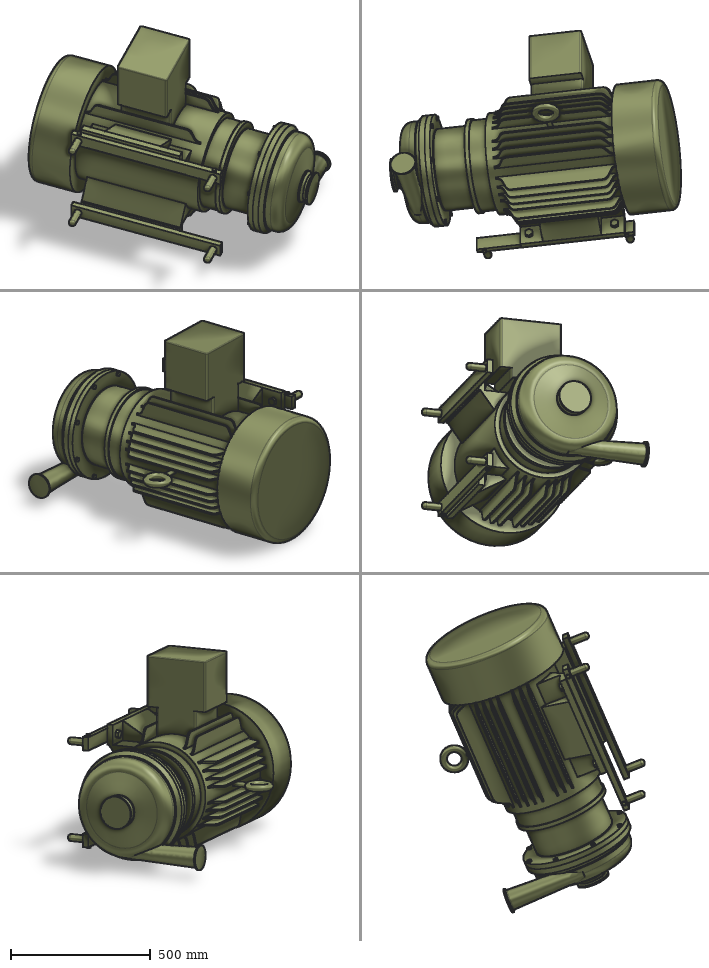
import cadquery as cq
import math


COWL_RADIUS = 235.0
COWL_END = 165.0
COWL_ROUNDING = 19.0
BARREL_RADIUS = 183.0
BARREL_END = 636.0

OUTER_FIN_OFFSET = 115.0
FIN_PITCH = OUTER_FIN_OFFSET / 4
FIN_THICKNESS = 6.0
FIN_ENVELOPE_RADIUS = 461.0 / 2
FIN_END = 610.0
FIN_LIP = 3.0
FIN_LIP_LENGTH = 17.0
FIN_RAMP_LENGTH = 24.0
FIN_ROUNDING = 22.0
FIN_ROOT = 131.0
SIDE_FINS = (-4, -3, -2, -1, 1, 2, 3, 4)
TOP_FINS = (-3, 3, 4)
BOTTOM_FINS = (-3, -2, -1, 1, 2, 3, 4)

BOX_X = 395.0
BOX_LENGTH = 190.0
BOX_WIDTH = 230.0
BOX_TOP = 460.0
BOX_BOTTOM = 274.0
BOX_NECK_WIDTH = 155.0
BOX_CORNER_ROUNDING = 7.0
BOX_TOP_ROUNDING = 3.0

EYE_DIAMETER = 102.0
EYE_WIRE_DIAMETER = 25.0
EYE_TOP = 335.0
EYE_STEM_DIAMETER = 18.0

FOOT_LENGTH = 379.0
FOOT_FACE = 228.0
PAD_THICKNESS = 23.0
PAD_TOP = 217.0
LEDGE = 143.0
PAD_LIP = 6.0
WEB_BOTTOM = 68.0
WEB_BOTTOM_DEPTH = 165.0
FOOT_ROOT = 99.0
GUSSET_LENGTH = 214.0
GUSSET_TOP_AT_ROOT = 156.0
FOOT_BOLT_SPACING = 312.0
FOOT_BOLT_DIAMETER = 29.0
FOOT_BOLT_HEIGHT = 12.0

RAIL_START = 175.0
RAIL_LENGTH = 572.0
RAIL_HEIGHT = 49.0
RAIL_THICKNESS = 20.0
RAIL_Z = 177.0
PIN_DIAMETER = 26.0
PIN_LENGTH = 70.0
PIN_TIP_ROUNDING = 12.0
PIN_POSITIONS = (203.0, 722.0)
SCREW_DIAMETER = 15.0
SCREW_HEIGHT = 6.0

ADAPTER_RADIUS = 330.0 / 2
CLAMP_RADIUS = 340.0 / 2
CLAMP_START = 698.0
CLAMP_END = 715.0
SLEEVE_RADIUS = 295.0 / 2
GROOVE_WIDTH = 3.0
GROOVE_DEPTH = 3.0

FLANGE_RADIUS = 400.0 / 2
FLANGE_START = 835.0
FLANGE_SEAM = 854.0
FLANGE_EDGE = 875.0
FLANGE_END = 890.0
FLANGE_SHOULDER_RADIUS = 185.0
CASING_RADIUS = 183.0
CASING_EDGE = 914.0
CASING_FACE = 954.0
CASING_FACE_RADIUS = 139.0
CASING_BULGE_X = 944.0
CASING_BULGE_RADIUS = 170.0
FLANGE_BOLTS = 8
FLANGE_BOLT_CIRCLE_RADIUS = 189.0
FLANGE_BOLT_DIAMETER = 15.0
FLANGE_BOLT_HEIGHT = 6.0

HUB_START = 972.0
HUB_END = 978.0
HUB_RADIUS = 117.0 / 2
INLET_NECK_RADIUS = 98.0 / 2
INLET_NECK_START = 988.0
INLET_NECK_END = 997.0
INLET_RIM_START = 1002.0
INLET_RIM_RADIUS = 119.0 / 2
INLET_END = 1008.0

OUTLET_X = 915.0
OUTLET_Z = -156.0
OUTLET_END = 292.0
OUTLET_RIM_RADIUS = 45.0
OUTLET_RIM_THICKNESS = 5.0
OUTLET_PIPE_RADIUS = 77.0 / 2
OUTLET_CUFF_END = 285.0
OUTLET_CUFF_START = 280.0
OUTLET_ROOT_RADIUS = 28.0


def block(x_range, y_range, z_range):
    """Axis-aligned box between two corners."""
    size = [high - low for low, high in (x_range, y_range, z_range)]
    corner = (x_range[0], y_range[0], z_range[0])
    return cq.Workplane("XY").box(*size, centered=False).translate(corner)


def cylinder(base, direction, radius, length):
    return cq.Workplane(cq.Solid.makeCylinder(radius, length, cq.Vector(*base), cq.Vector(*direction)))


def make_barrel():
    cowl = cylinder((0, 0, 0), (1, 0, 0), COWL_RADIUS, COWL_END).faces("<X").edges().fillet(COWL_ROUNDING)
    return cowl.union(cylinder((0, 0, 0), (1, 0, 0), BARREL_RADIUS, BARREL_END))


def make_fin(offset):
    """Fin on the +Y side of the barrel, lying in a plane Z = offset."""
    base = math.sqrt(BARREL_RADIUS**2 - offset**2) + FIN_LIP
    tip = math.sqrt(FIN_ENVELOPE_RADIUS**2 - offset**2)
    rise_start = COWL_END + FIN_LIP_LENGTH
    fall_end = FIN_END - FIN_LIP_LENGTH
    corners = [
        (rise_start, base),
        (rise_start + FIN_RAMP_LENGTH, tip),
        (fall_end - FIN_RAMP_LENGTH, tip),
        (fall_end, base),
    ]
    outline = [(COWL_END, FIN_ROOT), (COWL_END, base), *corners, (FIN_END, base), (FIN_END, FIN_ROOT)]
    fin = (
        cq.Workplane("XY", origin=(0, 0, offset - FIN_THICKNESS / 2))
        .polyline(outline)
        .close()
        .extrude(FIN_THICKNESS)
    )
    for x, y in corners:
        fin = fin.edges(cq.NearestToPointSelector((x, y, offset))).fillet(FIN_ROUNDING)
    return fin


def make_fins():
    """Fins on three sides; each group is the +Y group turned about the shaft axis."""
    fins = []
    for turn, row in ((0, SIDE_FINS), (90, TOP_FINS), (-90, BOTTOM_FINS)):
        for place in row:
            side = -1 if turn == 90 else 1
            fins.append(make_fin(side * place * FIN_PITCH).rotate((0, 0, 0), (1, 0, 0), turn))
    return fins


def make_terminal_box():
    x_range = (BOX_X - BOX_LENGTH / 2, BOX_X + BOX_LENGTH / 2)
    half_width = BOX_WIDTH / 2
    half_neck = BOX_NECK_WIDTH / 2
    box = block(x_range, (-half_width, half_width), (BOX_BOTTOM, BOX_TOP))
    box = box.edges("|Z").fillet(BOX_CORNER_ROUNDING).faces(">Z").edges().fillet(BOX_TOP_ROUNDING)
    neck = block(x_range, (-half_neck, half_neck), (0, BOX_BOTTOM))
    return box.union(neck.edges("|Z").fillet(BOX_CORNER_ROUNDING))


def make_lifting_eye():
    wire_radius = EYE_WIRE_DIAMETER / 2
    ring_radius = EYE_DIAMETER / 2 - wire_radius
    center_y = EYE_TOP - EYE_DIAMETER / 2
    ring = cq.Workplane(
        cq.Solid.makeTorus(ring_radius, wire_radius, cq.Vector(BOX_X, center_y, 0), cq.Vector(0, 0, 1))
    )
    stem = cylinder((BOX_X, 0, 0), (0, 1, 0), EYE_STEM_DIAMETER / 2, center_y - ring_radius)
    return ring.union(stem)


def extrude_along_x(outline, length):
    """Prism with a (Y, Z) outline, centred lengthwise on the feet."""
    return cq.Workplane("YZ", origin=(BOX_X - length / 2, 0, 0)).polyline(outline).close().extrude(length)


def make_foot():
    """Upper foot: angled web, upright pad, sloped gusset and two hexagon bolt heads."""
    pad_back = -FOOT_FACE + PAD_THICKNESS
    foot = extrude_along_x(
        [
            (-FOOT_ROOT, LEDGE),
            (pad_back, LEDGE),
            (pad_back, PAD_TOP),
            (-FOOT_FACE, PAD_TOP),
            (-FOOT_FACE, LEDGE),
            (-FOOT_FACE + PAD_LIP, LEDGE),
            (-WEB_BOTTOM_DEPTH, WEB_BOTTOM),
            (-FOOT_ROOT, WEB_BOTTOM),
        ],
        FOOT_LENGTH,
    )
    gusset = extrude_along_x(
        [
            (-FOOT_ROOT, LEDGE),
            (-FOOT_ROOT, GUSSET_TOP_AT_ROOT),
            (pad_back, PAD_TOP),
            (pad_back, LEDGE),
        ],
        GUSSET_LENGTH,
    )
    foot = foot.union(gusset)
    for side in (-1, 1):
        bolt_x = BOX_X + side * FOOT_BOLT_SPACING / 2
        head = (
            cq.Workplane("XZ", origin=(bolt_x, pad_back + FOOT_BOLT_HEIGHT, RAIL_Z))
            .transformed(rotate=(0, 0, 90))
            .polygon(6, FOOT_BOLT_DIAMETER)
            .extrude(FOOT_BOLT_HEIGHT)
        )
        foot = foot.union(head)
    return foot


def make_rail():
    """Upper rail with two round-ended pins and two screws on its edge."""
    rail_face = -FOOT_FACE - RAIL_THICKNESS
    rail_top = RAIL_Z + RAIL_HEIGHT / 2
    rail = block(
        (RAIL_START, RAIL_START + RAIL_LENGTH),
        (rail_face, -FOOT_FACE),
        (RAIL_Z - RAIL_HEIGHT / 2, rail_top),
    )
    for x in PIN_POSITIONS:
        pin = cylinder((x, rail_face, RAIL_Z), (0, -1, 0), PIN_DIAMETER / 2, PIN_LENGTH)
        pin = pin.faces("<Y").edges().fillet(PIN_TIP_ROUNDING)
        screw_y = -FOOT_FACE - RAIL_THICKNESS / 2
        screw = cylinder((x, screw_y, rail_top), (0, 0, 1), SCREW_DIAMETER / 2, SCREW_HEIGHT)
        rail = rail.union(pin).union(screw)
    return rail


def make_motor():
    motor = make_barrel()
    for fin in make_fins():
        motor = motor.union(fin)
    support = make_foot().union(make_rail())
    motor = motor.union(support).union(support.mirror("XY"))
    return motor.union(make_terminal_box()).union(make_lifting_eye())


def make_adapter():
    """Adapter, clamp ring, sleeve and rear flange half, revolved about the shaft axis."""
    groove_radius = SLEEVE_RADIUS - GROOVE_DEPTH
    profile = (
        cq.Workplane("XY")
        .moveTo(BARREL_END, 0)
        .lineTo(BARREL_END, ADAPTER_RADIUS)
        .lineTo(CLAMP_START, ADAPTER_RADIUS)
        .lineTo(CLAMP_START, CLAMP_RADIUS)
        .lineTo(CLAMP_END, CLAMP_RADIUS)
        .lineTo(CLAMP_END, groove_radius)
        .lineTo(CLAMP_END + GROOVE_WIDTH, groove_radius)
        .lineTo(CLAMP_END + GROOVE_WIDTH, SLEEVE_RADIUS)
        .lineTo(FLANGE_START - GROOVE_WIDTH, SLEEVE_RADIUS)
        .lineTo(FLANGE_START - GROOVE_WIDTH, groove_radius)
        .lineTo(FLANGE_START, groove_radius)
        .lineTo(FLANGE_START, FLANGE_RADIUS)
        .lineTo(FLANGE_SEAM, FLANGE_RADIUS)
        .lineTo(FLANGE_SEAM, 0)
        .close()
    )
    adapter = profile.revolve(360, (0, 0, 0), (1, 0, 0))
    for i in range(FLANGE_BOLTS):
        angle = 2 * math.pi * (i + 0.5) / FLANGE_BOLTS
        y = FLANGE_BOLT_CIRCLE_RADIUS * math.cos(angle)
        z = FLANGE_BOLT_CIRCLE_RADIUS * math.sin(angle)
        bolt = cylinder((FLANGE_START, y, z), (-1, 0, 0), FLANGE_BOLT_DIAMETER / 2, FLANGE_BOLT_HEIGHT)
        adapter = adapter.union(bolt)
    return adapter


def make_drive():
    """Motor and adapter, which form one solid."""
    return make_motor().union(make_adapter())


def make_volute():
    """Front flange half, pump casing and inlet, revolved about the shaft axis."""
    groove_radius = CASING_RADIUS - GROOVE_DEPTH
    profile = (
        cq.Workplane("XY")
        .moveTo(FLANGE_SEAM, 0)
        .lineTo(FLANGE_SEAM, FLANGE_RADIUS)
        .lineTo(FLANGE_EDGE, FLANGE_RADIUS)
        .lineTo(FLANGE_END, FLANGE_SHOULDER_RADIUS)
        .lineTo(FLANGE_END, groove_radius)
        .lineTo(FLANGE_END + GROOVE_WIDTH, groove_radius)
        .lineTo(FLANGE_END + GROOVE_WIDTH, CASING_RADIUS)
        .lineTo(CASING_EDGE, CASING_RADIUS)
        .threePointArc((CASING_BULGE_X, CASING_BULGE_RADIUS), (CASING_FACE, CASING_FACE_RADIUS))
        .lineTo(HUB_START, HUB_RADIUS)
        .lineTo(HUB_END, HUB_RADIUS)
        .lineTo(INLET_NECK_START, INLET_NECK_RADIUS)
        .lineTo(INLET_NECK_END, INLET_NECK_RADIUS)
        .lineTo(INLET_RIM_START, INLET_RIM_RADIUS)
        .lineTo(INLET_END, INLET_RIM_RADIUS)
        .lineTo(INLET_END, 0)
        .close()
    )
    return profile.revolve(360, (0, 0, 0), (1, 0, 0))


def make_outlet():
    """Tapered outlet pipe with a thin rim, pointing to +Y."""
    rim_back = OUTLET_END - OUTLET_RIM_THICKNESS
    profile = (
        cq.Workplane("XY", origin=(OUTLET_X, 0, OUTLET_Z))
        .moveTo(0, 0)
        .lineTo(OUTLET_ROOT_RADIUS, 0)
        .lineTo(OUTLET_PIPE_RADIUS, OUTLET_CUFF_START)
        .lineTo(OUTLET_PIPE_RADIUS, OUTLET_CUFF_END)
        .lineTo(OUTLET_RIM_RADIUS, rim_back)
        .lineTo(OUTLET_RIM_RADIUS, OUTLET_END)
        .lineTo(0, OUTLET_END)
        .close()
    )
    return profile.revolve(360, (0, 0, 0), (0, 1, 0))


def make_casing():
    return make_volute().union(make_outlet())


drive = make_drive()
casing = make_casing()

result = cq.Compound.makeCompound([drive.val(), casing.val()])